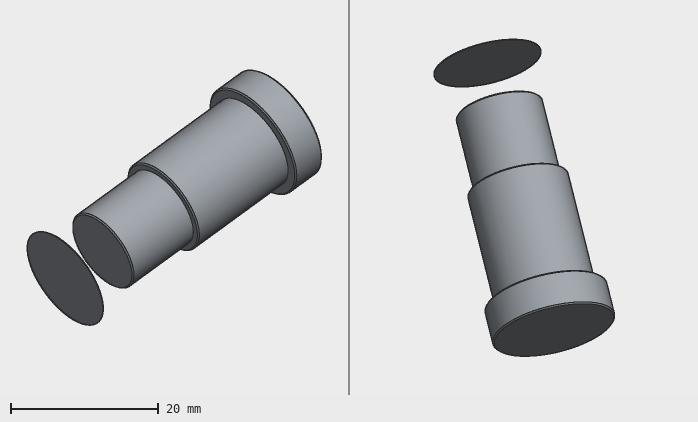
import cadquery as cq

head_diameter = 17.0
head_length = 5.0
body_diameter = 14.0
body_length = 16.8
tip_diameter = 12.0
tip_length = 11.3
edge_chamfer = 0.2

disc_diameter = 14.9
disc_thickness = 0.1
overall_length = 40.1


def cylinder_along_minus_y(diameter, length, start_y):
    """Cylinder that starts at start_y and runs toward -Y."""
    return (
        cq.Workplane("XZ", origin=(0, start_y, 0))
        .circle(diameter / 2)
        .extrude(length)
    )


def make_stepped_pin():
    """Headed pin with two smaller steps, the outer edges of each step chamfered."""
    body_start = -head_length
    tip_start = body_start - body_length
    head = cylinder_along_minus_y(head_diameter, head_length, 0).edges().chamfer(edge_chamfer)
    body = cylinder_along_minus_y(body_diameter, body_length, body_start).edges("<Y").chamfer(edge_chamfer)
    tip = cylinder_along_minus_y(tip_diameter, tip_length, tip_start).edges("<Y").chamfer(edge_chamfer)
    return head.union(body).union(tip)


def make_disc():
    """Thin loose disc in front of the pin tip, its front face closing the overall length."""
    return cylinder_along_minus_y(disc_diameter, disc_thickness, disc_thickness - overall_length)


stepped_pin = make_stepped_pin()
disc = make_disc()

result = cq.Compound.makeCompound([stepped_pin.val(), disc.val()])